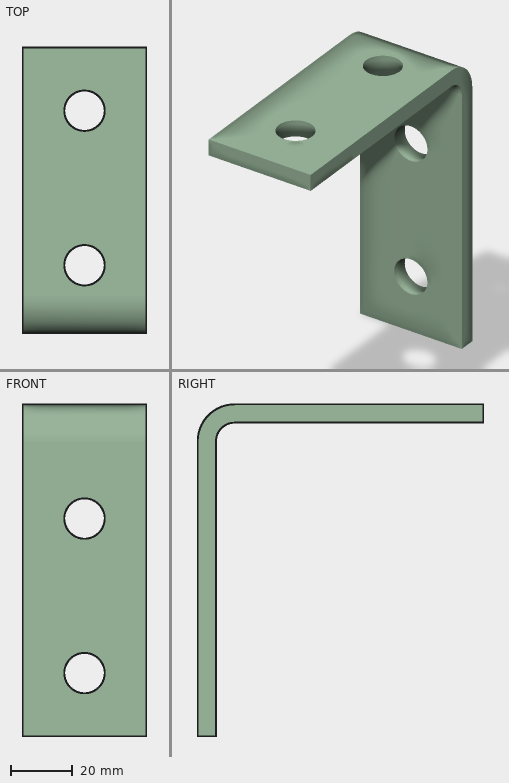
import cadquery as cq

width = 40.0
shelf_length = 92.5
upright_height = 107.5
thickness = 6.0
inner_bend_radius = 6.0
outer_bend_radius = inner_bend_radius + thickness

hole_diameter = 13.0
hole_pitch = 50.0
end_distance = 20.5
hole_distances = [end_distance, end_distance + hole_pitch]


def bent_strip():
    """L-shaped strip: upright on the Y = 0 face, shelf on top, one rounded bend."""
    outer = (
        cq.Workplane("XY")
        .box(width, shelf_length, upright_height, centered=(True, False, False))
        .edges("|X and <Y and >Z")
        .fillet(outer_bend_radius)
    )
    inner = (
        cq.Workplane("XY")
        .box(width, shelf_length - thickness, upright_height - thickness, centered=(True, False, False))
        .translate((0, thickness, 0))
        .edges("|X and <Y and >Z")
        .fillet(inner_bend_radius)
    )
    return outer.cut(inner)


def hole_cutter(start, direction):
    """Cylinder that passes through one leg, starting on its outer face."""
    return cq.Workplane(
        cq.Solid.makeCylinder(hole_diameter / 2, thickness, cq.Vector(*start), cq.Vector(*direction))
    )


result = bent_strip()

for distance in hole_distances:
    result = result.cut(hole_cutter((0, 0, distance), (0, 1, 0)))
    result = result.cut(hole_cutter((0, shelf_length - distance, upright_height), (0, 0, -1)))